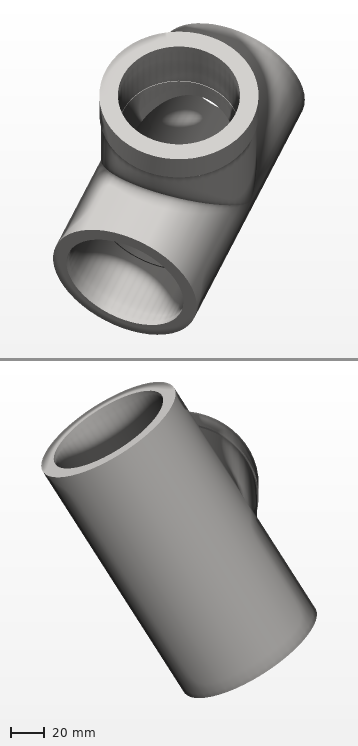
import cadquery as cq

run_length = 165.0
run_diameter = 92.0
branch_height = run_length / 2
branch_diameter = 91.9
collar_diameter = 94.0
collar_height = 18.0

run_bore_diameter = 73.1
run_socket_diameter = 74.9
run_socket_depth = 44.0
branch_bore_diameter = 71.5
branch_socket_diameter = 72.1
branch_socket_depth = 33.8


def run_cylinder(diameter, length):
    """Cylinder along Y, centred on the origin."""
    return cq.Workplane("XZ").circle(diameter / 2).extrude(length / 2, both=True)


def branch_cylinder(diameter, bottom, top):
    """Vertical cylinder between two heights."""
    return cq.Workplane("XY").workplane(offset=bottom).circle(diameter / 2).extrude(top - bottom)


body = run_cylinder(run_diameter, run_length)
body = body.union(branch_cylinder(branch_diameter, 0, branch_height))
body = body.union(branch_cylinder(collar_diameter, branch_height - collar_height, branch_height))

body = body.cut(run_cylinder(run_bore_diameter, run_length))
body = body.cut(branch_cylinder(branch_bore_diameter, 0, branch_height))

body = body.cut(branch_cylinder(branch_socket_diameter, branch_height - branch_socket_depth, branch_height))

for direction in (-1, 1):
    socket = (
        cq.Workplane("XZ", origin=(0, direction * run_length / 2, 0))
        .circle(run_socket_diameter / 2)
        .extrude(direction * run_socket_depth)
    )
    body = body.cut(socket)

result = body